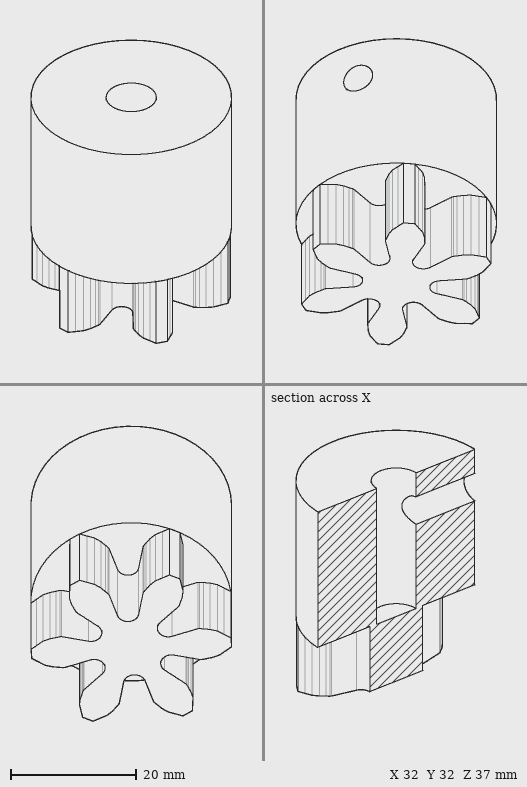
import cadquery as cq
import math

total_height = 37.0
body_diameter = 32.0
tooth_height = 12.0
body_height = total_height - tooth_height
body_radius = body_diameter / 2

bore_diameter = 8.0
bore_depth = body_height

screw_diameter = 5.0
screw_below_top = 7.0

tooth_count = 6
tooth_pitch = 360 / tooth_count
groove_radius = 1.75
groove_centre_radius = 7.15

tip_half_width = 0.92
tip_distance = math.sqrt(body_radius**2 - tip_half_width**2)

flank_corners = [
    (tip_distance, tip_half_width),
    (15.0, 1.65),
    (13.95, 2.45),
    (12.8, 2.85),
    (11.75, 3.05),
    (11.17, 3.15),
    (10.88, 3.15),
]


def polar(radius, degrees):
    """Point at a given radius and direction from the part axis."""
    angle = math.radians(degrees)
    return (radius * math.cos(angle), radius * math.sin(angle))


def turned(point, degrees):
    """Point turned about the part axis."""
    x, y = point
    direction = math.degrees(math.atan2(y, x))
    return polar(math.hypot(x, y), direction + degrees)


def groove_tangent_point():
    """Where the straight wall of the tooth along +X meets the round of the next groove."""
    centre_x, centre_y = polar(groove_centre_radius, tooth_pitch / 2)
    root_x, root_y = flank_corners[-1]
    to_root_x = root_x - centre_x
    to_root_y = root_y - centre_y
    wall_direction = math.atan2(to_root_y, to_root_x)
    tangent_offset = math.acos(groove_radius / math.hypot(to_root_x, to_root_y))
    contact_angle = wall_direction - tangent_offset
    return (
        centre_x + groove_radius * math.cos(contact_angle),
        centre_y + groove_radius * math.sin(contact_angle),
    )


def make_teeth():
    """Six-toothed star, one tooth pointing along +X."""
    wall_end = groove_tangent_point()
    one_side = flank_corners + [wall_end]
    other_side = [(x, -y) for x, y in reversed(one_side)]
    tooth = other_side + one_side
    groove_bottom = polar(groove_centre_radius - groove_radius, tooth_pitch / 2)

    outline = cq.Workplane("XY").moveTo(*tooth[0])
    for index in range(tooth_count):
        angle = index * tooth_pitch
        for corner in tooth[1:]:
            outline = outline.lineTo(*turned(corner, angle))
        next_start = turned(tooth[0], angle + tooth_pitch)
        outline = outline.threePointArc(turned(groove_bottom, angle), next_start)
    return outline.close().extrude(tooth_height)


def make_body():
    """Plain cylinder above the teeth."""
    base = cq.Workplane("XY").workplane(offset=tooth_height)
    return base.circle(body_radius).extrude(body_height)


def make_bore():
    """Blind bore cut down from the top face."""
    top = cq.Workplane("XY").workplane(offset=total_height)
    return top.circle(bore_diameter / 2).extrude(-bore_depth)


def make_screw_hole():
    """Radial hole from the part axis out through the +Y side."""
    screw_height = total_height - screw_below_top
    return (
        cq.Workplane("XZ")
        .center(0, screw_height)
        .circle(screw_diameter / 2)
        .extrude(-body_radius)
    )


result = make_body().union(make_teeth()).cut(make_bore()).cut(make_screw_hole())